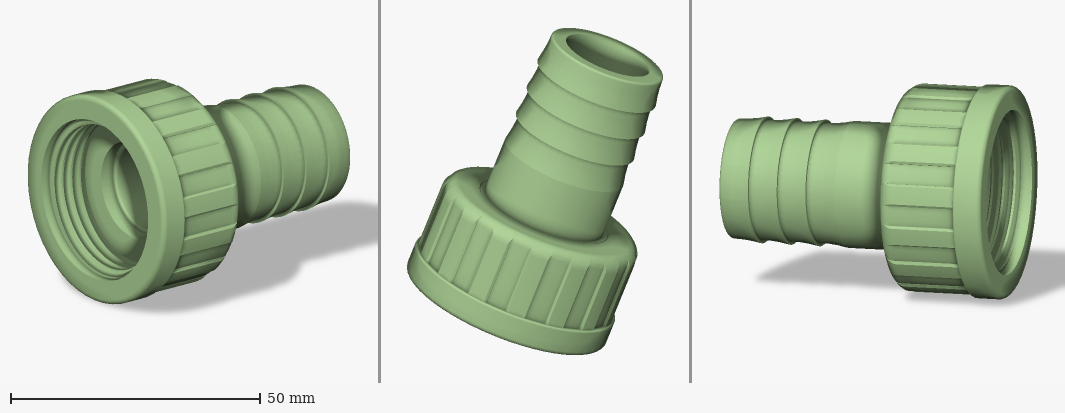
import cadquery as cq
import math


total_length = 57.1

nut_length = 21.55
collar_diameter = 43.0
collar_length = 5.75
collar_front_fillet = 1.0
collar_back_fillet = 0.4
grip_diameter = 40.9
grip_fillet = 2.0
neck_hole_diameter = 27.7

rib_count = 15
rib_height = 0.5
rib_fillet = 2.8
rib_base_width = 4.5
rib_top_width = 3.5
rib_root_depth = 2.0

thread_pitch = 2.309
mouth_diameter = 33.25
thread_major_diameter = 33.23
thread_minor_diameter = 30.25
thread_root_width = 0.64
thread_flank_width = 0.6
thread_turns = 4
thread_lead_in_turns = 0.5
groove_overlap = 0.5
mouth_depth = 2.0

gasket_diameter = 30.0
gasket_hole_diameter = 20.0
gasket_thickness = 3.0
gasket_face_y = 10.1

tail_bore_diameter = 18.0
tail_bore_fillet = 0.5
tail_diameter = 25.5
tail_neck_diameter = 27.4
flange_diameter = 30.0
flange_thickness = 3.0
barb_count = 4
barb_length = 6.0
tip_length = 0.25
barb_root_diameter = 24.1
tail_end_fillet = 0.5

flange_face_y = gasket_face_y + gasket_thickness
flange_back_y = flange_face_y + flange_thickness
barbs_start_y = total_length - tip_length - barb_count * barb_length

grip_radius = grip_diameter / 2
rib_radius = grip_radius + rib_height
thread_major_radius = thread_major_diameter / 2
thread_minor_radius = thread_minor_diameter / 2
tail_radius = tail_diameter / 2
barb_root_radius = barb_root_diameter / 2


def revolve_about_y(profile):
    """Turn a closed (radius, y) profile once around the Y axis."""
    return profile.close().revolve(360, (0, 0, 0), (0, 1, 0))


def disc(diameter, start_y, end_y):
    """A round bar on the Y axis between two places."""
    return cq.Workplane("XZ", origin=(0, start_y, 0)).circle(diameter / 2).extrude(start_y - end_y)


def rounded_drum(radius, start_y, end_y, fillet):
    """A round bar whose far (+Y) rim is rounded."""
    return disc(2 * radius, start_y, end_y).faces(">Y").edges().fillet(fillet)


def make_grip_ribs():
    """Trapezoidal ribs along the grip, trimmed to a round outside that curves in at the back."""
    envelope = rounded_drum(rib_radius, collar_length / 2, nut_length, rib_fillet)
    flank_slope = (rib_base_width - rib_top_width) / 2 / rib_height
    inner_radius = grip_radius - rib_root_depth
    outer_radius = rib_radius + rib_height

    def half_width(radius):
        return rib_base_width / 2 - flank_slope * (radius - grip_radius)

    blank = (
        cq.Workplane("XZ", origin=(0, collar_length / 2, 0))
        .moveTo(-half_width(grip_radius), inner_radius)
        .lineTo(half_width(grip_radius), inner_radius)
        .lineTo(half_width(grip_radius), grip_radius)
        .lineTo(half_width(outer_radius), outer_radius)
        .lineTo(-half_width(outer_radius), outer_radius)
        .lineTo(-half_width(grip_radius), grip_radius)
        .close()
        .extrude(collar_length / 2 - nut_length)
    )
    rib = blank.intersect(envelope)
    rib_step = 360 / rib_count
    ribs = [rib.rotate((0, 0, 0), (0, 1, 0), (i + 0.5) * rib_step).val() for i in range(rib_count)]
    return cq.Workplane("XY").newObject(ribs)


def make_thread_groove():
    """Helical trapezoidal groove; at +X its middle lies in the floor of the nut's mouth."""
    root_half = thread_root_width / 2
    mouth_half = root_half + thread_flank_width
    flank_slope = thread_flank_width / (thread_major_radius - thread_minor_radius)
    inner_half = mouth_half + flank_slope * groove_overlap
    inner_radius = thread_minor_radius - groove_overlap
    helix_length = (thread_lead_in_turns + thread_turns) * thread_pitch
    helix = cq.Wire.makeHelix(thread_pitch, helix_length, thread_minor_radius)
    groove = (
        cq.Workplane("XZ")
        .moveTo(inner_radius, -inner_half)
        .lineTo(thread_major_radius, -root_half)
        .lineTo(thread_major_radius, root_half)
        .lineTo(inner_radius, inner_half)
        .close()
        .sweep(cq.Workplane(helix), isFrenet=True)
    )
    groove = groove.rotate((0, 0, 0), (1, 0, 0), -90)
    groove = groove.rotate((0, 0, 0), (0, 1, 0), 360 * thread_lead_in_turns)
    return groove.translate((0, mouth_depth - thread_lead_in_turns * thread_pitch, 0))


def make_nut():
    """Threaded, ribbed union nut with a wide mouth and a hole for the neck of the tail."""
    collar = (
        disc(collar_diameter, 0, collar_length)
        .faces("<Y").edges().fillet(collar_front_fillet)
        .faces(">Y").edges().fillet(collar_back_fillet)
    )
    nut = collar.union(rounded_drum(grip_radius, collar_length / 2, nut_length, grip_fillet))
    nut = nut.cut(disc(neck_hole_diameter, 0, nut_length))
    nut = nut.cut(disc(thread_minor_diameter, 0, flange_back_y))
    nut = nut.cut(disc(mouth_diameter, 0, mouth_depth))
    nut = nut.cut(make_thread_groove())
    return nut.union(make_grip_ribs())


def make_gasket():
    """Flat ring pressed against the flange of the tail."""
    return disc(gasket_diameter, gasket_face_y, flange_face_y).cut(
        disc(gasket_hole_diameter, gasket_face_y, flange_face_y)
    )


def make_hose_tail():
    """Flanged tube whose barbs flare towards the nut along a curve that starts parallel to the axis."""
    flare = tail_radius - barb_root_radius
    flare_radius = (barb_length**2 + flare**2) / (2 * flare)
    half_turn = math.asin(barb_length / flare_radius) / 2
    mid_radius = barb_root_radius + flare_radius * (1 - math.cos(half_turn))
    mid_from_root = flare_radius * math.sin(half_turn)

    outline = (
        cq.Workplane("XY")
        .moveTo(0, flange_face_y)
        .lineTo(flange_diameter / 2, flange_face_y)
        .lineTo(flange_diameter / 2, flange_back_y)
        .lineTo(tail_neck_diameter / 2, flange_back_y)
        .lineTo(tail_neck_diameter / 2, nut_length)
        .lineTo(tail_radius, nut_length)
        .lineTo(tail_radius, barbs_start_y)
    )
    for i in range(barb_count):
        root_y = barbs_start_y + (i + 1) * barb_length
        outline = outline.threePointArc((mid_radius, root_y - mid_from_root), (barb_root_radius, root_y))
        if i < barb_count - 1:
            outline = outline.lineTo(tail_radius, root_y)
    outline = outline.lineTo(barb_root_radius, total_length).lineTo(0, total_length)
    tail = revolve_about_y(outline)
    tail = tail.faces(">Y").edges().fillet(tail_end_fillet)
    tail = tail.cut(disc(tail_bore_diameter, flange_face_y, total_length))
    bore_mouth = cq.selectors.RadiusNthSelector(0)
    return tail.faces("<Y").edges(bore_mouth).fillet(tail_bore_fillet)


nut = make_nut()
gasket = make_gasket()
hose_tail = make_hose_tail()

result = cq.Compound.makeCompound([nut.val(), gasket.val(), hose_tail.val()])